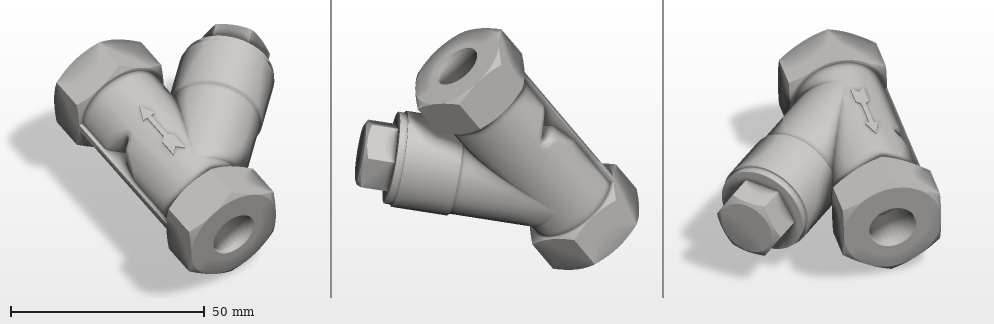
import cadquery as cq
import math

body_length = 65.0
body_radius = 12.0
nut_length = 11.9
nut_flats = 26.0

hex_bevel_angle = 30.0

bore_mouth_diameter = 12.5
bore_end_diameter = 11.5
drill_diameter = 10.6
bore_depth = 12.0
drill_point_angle = 118.0

web_thickness = 2.0
web_reach = nut_flats / 2

branch_x = 13.5
branch_angle = 135.0
branch_radius = body_radius
sleeve_radius = 12.55
sleeve_start = 26.3
sleeve_end = 41.4
collar_radius = 12.0
collar_end = 43.4
cap_end = 51.52
cap_flats = 16.5
cap_face_radius = 7.5

pocket_left = (-9.5, -body_radius)
pocket_peak = (-4.86, -7.4)
pocket_elbow = (-3.34, -10.1)
pocket_right = (4.0, -body_radius)
pocket_peak_radius = 1.1
pocket_elbow_radius = 2.5
pocket_rim_radius = 2.0

arrow_height = 0.5
arrow_y = -1.95
arrow_tip_x = -9.1
arrow_head_x = -4.57
arrow_shaft_end_x = 3.25
arrow_fletch_x = 4.4
arrow_notch_x = 7.9
arrow_tail_x = 9.8
arrow_half_width = 1.75
shaft_half_width = 0.57

body_plane = cq.Plane(origin=(-body_length / 2, 0, 0), xDir=(0, 1, 0), normal=(1, 0, 0))
branch_direction = (math.cos(math.radians(branch_angle)), math.sin(math.radians(branch_angle)), 0)
branch_across = (branch_direction[1], -branch_direction[0], 0)
branch_plane = cq.Plane(origin=(branch_x, 0, 0), xDir=branch_across, normal=branch_direction)


def turned(plane, outline):
    """Revolve an outline of (radius, distance) points about the plane's normal."""
    profile_plane = cq.Plane(origin=plane.origin, xDir=plane.xDir, normal=plane.yDir.multiply(-1))
    return cq.Workplane(profile_plane).polyline(outline).close().revolve(360, (0, 0), (0, 1))


def hexagon(plane, start, end, flats, first_corner_angle):
    """Hexagonal prism between two distances along the plane's normal."""
    corner_radius = flats / math.sqrt(3)
    angles = [math.radians(first_corner_angle + 60 * i) for i in range(6)]
    corners = [(corner_radius * math.cos(a), corner_radius * math.sin(a)) for a in angles]
    return cq.Workplane(plane).workplane(offset=start).polyline(corners).close().extrude(end - start)


def bevel_drop(flats, face_radius):
    """Axial length of the corner bevel that leaves a round end face."""
    return (flats / math.sqrt(3) - face_radius) * math.tan(math.radians(hex_bevel_angle))


def make_nut(start):
    """Hexagonal end with both faces bevelled to a round, flats facing -Y and +Y."""
    end = start + nut_length
    corner_radius = nut_flats / math.sqrt(3)
    face_radius = nut_flats / 2
    drop = bevel_drop(nut_flats, face_radius)
    blank = turned(
        body_plane,
        [
            (0, start),
            (face_radius, start),
            (corner_radius, start + drop),
            (corner_radius, end - drop),
            (face_radius, end),
            (0, end),
        ],
    )
    return hexagon(body_plane, start, end, nut_flats, 90).intersect(blank)


def beyond(inner, outer):
    """Point as far past the outer point as the inner point lies before it."""
    return (2 * outer[0] - inner[0], 2 * outer[1] - inner[1])


def make_pocketed_tube():
    """Round tube with the pocket profile cut right through its -Y side and the rim rounded."""
    tube = cq.Workplane(body_plane).circle(body_radius).extrude(body_length)
    outline = [
        beyond(pocket_peak, pocket_left),
        pocket_peak,
        pocket_elbow,
        beyond(pocket_elbow, pocket_right),
    ]
    cutter = cq.Workplane("XY").polyline(outline).close().extrude(body_radius, both=True)
    for corner, radius in ((pocket_peak, pocket_peak_radius), (pocket_elbow, pocket_elbow_radius)):
        corner_edge = cq.selectors.NearestToPointSelector((*corner, 0))
        cutter = cutter.edges(corner_edge).fillet(radius)
    pocketed = tube.cut(cutter)
    rim = pocketed.edges("not (%LINE or %CIRCLE)")
    return rim.fillet(pocket_rim_radius)


def make_branch():
    """Round branch with a wider sleeve, a collar and a hexagonal cap."""
    step = sleeve_radius - branch_radius
    cap_corner_radius = cap_flats / math.sqrt(3)
    cap_drop = bevel_drop(cap_flats, cap_face_radius)
    barrel = turned(
        branch_plane,
        [
            (0, 0),
            (branch_radius, 0),
            (branch_radius, sleeve_start),
            (sleeve_radius, sleeve_start + step),
            (sleeve_radius, sleeve_end),
            (collar_radius, sleeve_end),
            (collar_radius, collar_end),
            (0, collar_end),
        ],
    )
    cap_blank = turned(
        branch_plane,
        [
            (0, collar_end),
            (cap_corner_radius, collar_end),
            (cap_corner_radius, cap_end - cap_drop),
            (cap_face_radius, cap_end),
            (0, cap_end),
        ],
    )
    cap = hexagon(branch_plane, collar_end, cap_end, cap_flats, 0).intersect(cap_blank)
    return barrel.union(cap)


def make_web():
    """Thin plate from the body axis out to the nut flats, spanning between the nuts."""
    web_length = body_length - 2 * nut_length
    web = cq.Workplane("XY").box(web_length, web_reach, web_thickness)
    return web.translate((0, -web_reach / 2, 0))


def make_arrow():
    """Arrow pointing to -X, with its top following a cylinder just outside the body."""
    upper_side = [
        (arrow_head_x, arrow_half_width),
        (arrow_head_x, shaft_half_width),
        (arrow_shaft_end_x, shaft_half_width),
        (arrow_fletch_x, arrow_half_width),
        (arrow_tail_x, arrow_half_width),
    ]
    lower_side = [(x, -y) for x, y in reversed(upper_side)]
    outline = [(arrow_tip_x, 0)] + upper_side + [(arrow_notch_x, 0)] + lower_side
    top_radius = body_radius + arrow_height
    prism = cq.Workplane("XY").polyline(outline).close().extrude(top_radius).translate((0, arrow_y, 0))
    return prism.intersect(cq.Workplane(body_plane).circle(top_radius).extrude(body_length))


def make_bore():
    """Tapered blind bore from the -X end, with a flat step around its drill point."""
    mouth_radius = bore_mouth_diameter / 2
    bore_end_radius = bore_end_diameter / 2
    drill_radius = drill_diameter / 2
    point_depth = drill_radius / math.tan(math.radians(drill_point_angle / 2))
    return turned(
        body_plane,
        [
            (0, 0),
            (mouth_radius, 0),
            (bore_end_radius, bore_depth),
            (drill_radius, bore_depth),
            (0, bore_depth + point_depth),
        ],
    )


result = make_pocketed_tube().union(make_branch()).union(make_web()).union(make_arrow())
for nut_start in (0, body_length - nut_length):
    result = result.union(make_nut(nut_start))
result = result.cut(make_bore()).cut(make_bore().mirror("YZ"))